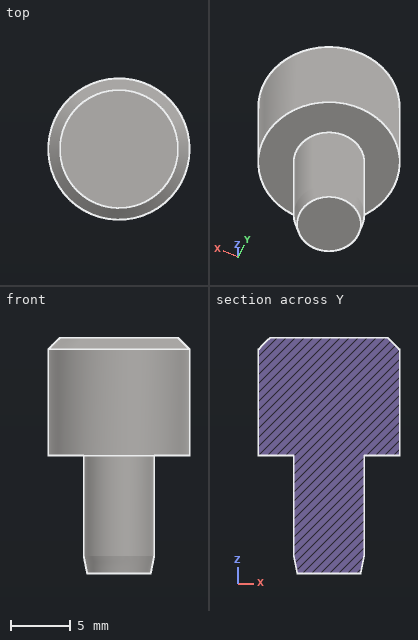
import cadquery as cq

head_diameter = 12.0
head_height = 10.0
head_chamfer = 1.0

shank_diameter = 6.0
shank_length = 10.0
tip_height = 1.5
tip_end_diameter = 5.4

head_radius = head_diameter / 2
shank_radius = shank_diameter / 2
tip_end_radius = tip_end_diameter / 2

profile = (
    cq.Workplane("XZ")
    .moveTo(0, -shank_length)
    .lineTo(tip_end_radius, -shank_length)
    .lineTo(shank_radius, -shank_length + tip_height)
    .lineTo(shank_radius, 0)
    .lineTo(head_radius, 0)
    .lineTo(head_radius, head_height - head_chamfer)
    .lineTo(head_radius - head_chamfer, head_height)
    .lineTo(0, head_height)
    .close()
)

result = profile.revolve(360, (0, 0, 0), (0, 1, 0))